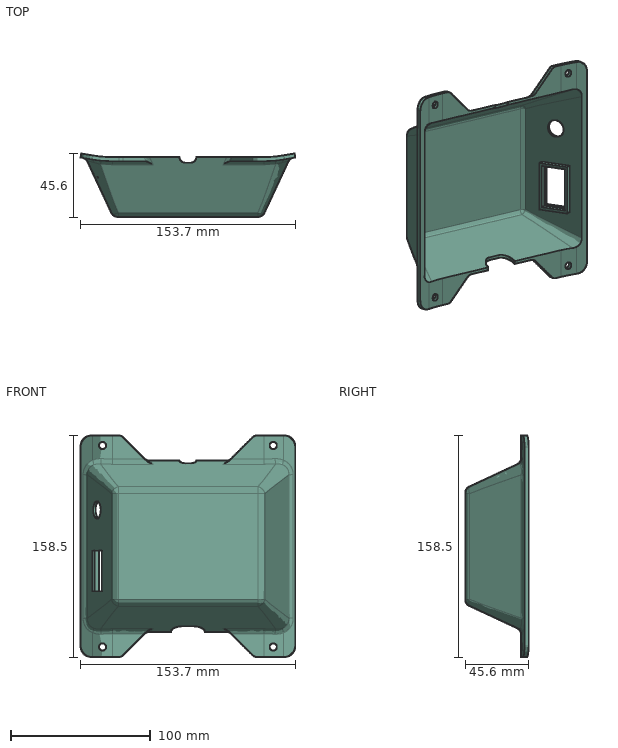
import cadquery as cq
import math

width = 153.68
height = 158.47
hood_depth = 43.0

tolerance = 0.1

draft = math.radians(25.0)
wall = 2.0
hood_back_x = 146.8
hood_back_z = 122.6
back_corner = 10.0
front_corner = 5.5
front_fillet = 5.5
root_fillet = 4.2
cavity_overrun = 5.0

flange_thickness = 3.0
bend_start = 54.2
bend_angle = math.radians(9.5)
bend_radius = 82.0
tip_corner = 8.0
ear_side_x = 47.6
ear_corner = 4.0
gap_overlap = 6.0
gap_reach = 14.0
mount_hole = 5.0
mount_x = 61.0
mount_z = 72.0

port_y = -17.9
round_port = 12.4
round_port_z = 26.0
window_length = 28.8
window_width = 16.2
window_z = -17.6
frame_depth = 4.0
frame_border = 2.0
frame_clearance = 1.0

top_notch_width = 12.0
top_notch_depth = 4.0
top_notch_radius = 4.0
bottom_notch_width = 24.0
bottom_notch_depth = 8.5
bottom_notch_radius = 8.0


def tapered_block(y_front, y_back, inset):
    """Four-sided tapered block, inset from the outer hood wall, with rounded corners and front rim."""

    def section_size(y):
        shrink = 2 * (inset / math.cos(draft) - y * math.tan(draft))
        return hood_back_x - shrink, hood_back_z - shrink

    block = (
        cq.Workplane("XZ", origin=(0, y_back, 0))
        .rect(*section_size(y_back))
        .workplane(offset=y_back - y_front)
        .rect(*section_size(y_front))
        .loft(ruled=True)
        .val()
    )
    rounding = cq.occ_impl.shapes.BRepFilletAPI_MakeFillet(block.wrapped)
    for edge in block.Edges():
        y_start = edge.startPoint().y
        y_end = edge.endPoint().y
        y_middle = (y_start + y_end) / 2
        if y_front < y_middle - tolerance and y_middle + tolerance < y_back:
            front_first = y_start < y_end
            radii = (front_corner - inset, back_corner - inset)
            start_radius, end_radius = radii if front_first else reversed(radii)
            rounding.Add(start_radius, end_radius, edge.wrapped)
        elif y_middle < y_front + tolerance:
            rounding.Add(front_fillet - inset, edge.wrapped)
    return cq.Workplane(cq.Shape.cast(rounding.Shape()))


def flange_plate():
    """Full flange plate: flat in the middle, both long sides bent backwards."""
    sin_a, cos_a = math.sin(bend_angle), math.cos(bend_angle)
    sin_h, cos_h = math.sin(bend_angle / 2), math.cos(bend_angle / 2)
    outer_radius = bend_radius + flange_thickness

    def on_bend(radius, sine, cosine, side):
        return (side * (bend_start + radius * sine), bend_radius - radius * cosine)

    front_bend_end = on_bend(outer_radius, sin_a, cos_a, 1)
    tip_rise = (width / 2 - front_bend_end[0]) * math.tan(bend_angle)
    front_tip = (width / 2, front_bend_end[1] + tip_rise)
    back_tip = (front_tip[0] - flange_thickness * sin_a, front_tip[1] + flange_thickness * cos_a)

    profile = (
        cq.Workplane("XY", origin=(0, 0, -height / 2))
        .moveTo(-bend_start, 0)
        .lineTo(bend_start, 0)
        .threePointArc(on_bend(bend_radius, sin_h, cos_h, 1), on_bend(bend_radius, sin_a, cos_a, 1))
        .lineTo(*back_tip)
        .lineTo(*front_tip)
        .lineTo(*front_bend_end)
        .threePointArc(on_bend(outer_radius, sin_h, cos_h, 1), (bend_start, -flange_thickness))
        .lineTo(-bend_start, -flange_thickness)
        .threePointArc(on_bend(outer_radius, sin_h, cos_h, -1), on_bend(outer_radius, sin_a, cos_a, -1))
        .lineTo(-front_tip[0], front_tip[1])
        .lineTo(-back_tip[0], back_tip[1])
        .lineTo(*on_bend(bend_radius, sin_a, cos_a, -1))
        .threePointArc(on_bend(bend_radius, sin_h, cos_h, -1), (-bend_start, 0))
        .close()
    )
    plate = profile.extrude(height)
    for side in (-1, 1):
        for end in (-1, 1):
            tip_middle = (
                side * (front_tip[0] + back_tip[0]) / 2,
                (front_tip[1] + back_tip[1]) / 2,
                end * height / 2,
            )
            plate = plate.edges(cq.selectors.NearestToPointSelector(tip_middle)).fillet(tip_corner)
    return plate


def blend_root(body):
    """Fillet the closed seam between the flange front and the hood wall."""
    seam_front = -flange_thickness - tolerance
    seam_zone = cq.selectors.BoxSelector(
        (-hood_back_x / 2, seam_front, -hood_back_z / 2),
        (hood_back_x / 2, -tolerance, hood_back_z / 2),
    )
    seam = [
        edge
        for edge in body.edges(seam_zone).vals()
        if edge.BoundingBox().zlen < hood_back_z
    ]
    return body.newObject(seam).fillet(root_fillet)


def trim_between_ears(body, hood):
    """Cut the flange back to the hood wall between the ears, leaving 45 degree ear sides."""
    top = height / 2
    wall_z = hood_back_z / 2 - gap_reach / 2 * math.tan(draft)
    cut_depth = top - hood_back_z / 2 + gap_overlap
    for end in (-1, 1):
        gap = (
            cq.Workplane("XZ")
            .polyline(
                [
                    (-ear_side_x, end * top),
                    (cut_depth - ear_side_x, end * (top - cut_depth)),
                    (ear_side_x - cut_depth, end * (top - cut_depth)),
                    (ear_side_x, end * top),
                ]
            )
            .close()
            .extrude(gap_reach)
            .cut(hood)
        )
        for side in (-1, 1):
            wall_corner = (side * (ear_side_x - top + wall_z), -gap_reach / 2, end * wall_z)
            gap = gap.edges(cq.selectors.NearestToPointSelector(wall_corner)).fillet(root_fillet)
        body = body.cut(gap)
        for side in (-1, 1):
            ear_point = (side * ear_side_x, -flange_thickness / 2, end * top)
            body = body.edges(cq.selectors.NearestToPointSelector(ear_point)).fillet(ear_corner)
    return body


def drill_mounting_holes(body):
    """One straight hole through each ear."""
    drill_start = 2 * flange_thickness
    drills = (
        cq.Workplane("XZ", origin=(0, drill_start, 0))
        .rect(2 * mount_x, 2 * mount_z, forConstruction=True)
        .vertices()
        .circle(mount_hole / 2)
        .extrude(2 * drill_start)
    )
    return body.cut(drills)


def port_plane(z):
    """Workplane on the outside of the left wall, X along the slope to the front, normal outwards."""
    wall_x = -(hood_back_x / 2 + port_y * math.tan(draft))
    return cq.Workplane(
        cq.Plane(
            origin=(wall_x, port_y, z),
            xDir=(math.sin(draft), -math.cos(draft), 0),
            normal=(-math.cos(draft), -math.sin(draft), 0),
        )
    )


def open_left_wall(body):
    """Round port, and a rectangular window with a frame on the inside of the wall."""
    through = wall + frame_depth
    body = body.cut(port_plane(round_port_z).circle(round_port / 2).extrude(through, both=True))

    window = port_plane(window_z)
    body = body.cut(window.rect(window_width, window_length).extrude(through, both=True))

    inside_face = window.workplane(offset=-wall)
    opening_width = window_width + 2 * frame_clearance
    opening_length = window_length + 2 * frame_clearance
    frame = (
        inside_face.rect(opening_width + 2 * frame_border, opening_length + 2 * frame_border)
        .rect(opening_width, opening_length)
        .extrude(-frame_depth)
    )
    return body.union(frame)


def cable_notch(width_x, depth, radius, end):
    """Cutter for a notch with rounded bottom corners, open to the back, in one end wall."""
    return (
        cq.Workplane("XY")
        .rect(width_x, 2 * depth)
        .extrude(end * height / 2)
        .edges("|Z")
        .edges("<Y")
        .fillet(radius)
    )


hood = tapered_block(-hood_depth, 0, 0)
cavity = tapered_block(wall - hood_depth, cavity_overrun, wall)

result = blend_root(flange_plate().union(hood))
result = trim_between_ears(result, hood)
result = result.cut(cavity)
result = drill_mounting_holes(result)
result = open_left_wall(result)
result = result.cut(cable_notch(top_notch_width, top_notch_depth, top_notch_radius, 1))
result = result.cut(cable_notch(bottom_notch_width, bottom_notch_depth, bottom_notch_radius, -1))